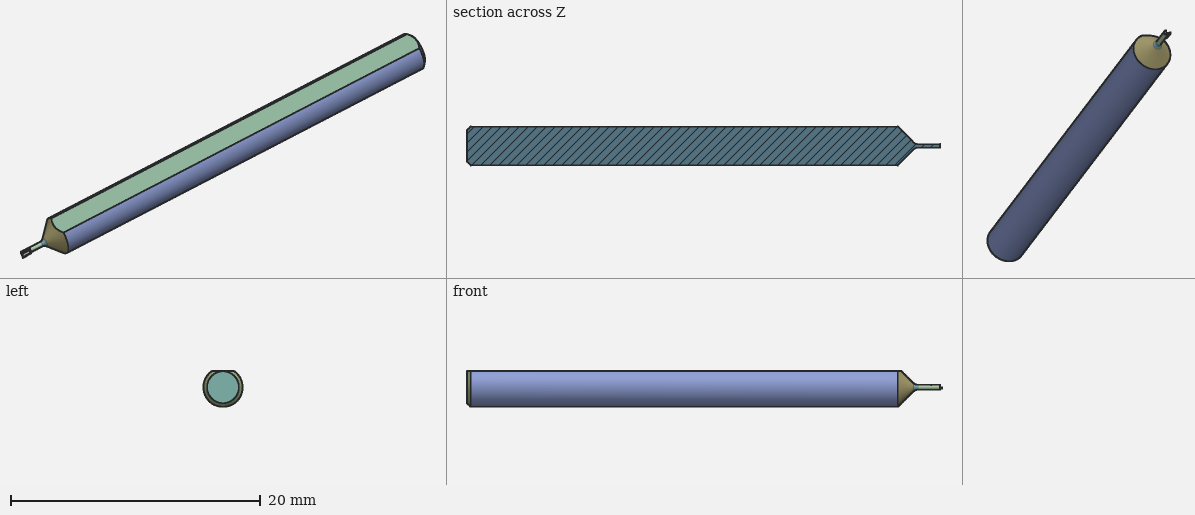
import cadquery as cq
import math

total_length = 38.1
shank_diameter = 3.15
flat_to_bottom = 2.9
shank_chamfer = 0.3
cone_start = 34.55
cone_angle = math.radians(45)
neck_diameter = 0.42
neck_fillet_radius = 0.5
neck_end = 37.95

tooth_reach = 0.3
tooth_start = 37.05
tooth_full_height = 37.3
tooth_back_relief = 0.05
tooth_depth = 0.1
rake_height = 0.0
rake_runout = 0.15

shank_radius = shank_diameter / 2
neck_radius = neck_diameter / 2
flat_height = flat_to_bottom - shank_radius
tooth_root = neck_radius / 2


def make_turned_body():
    """Chamfered shank, cone and thin neck joined by a tangent fillet."""
    fillet_start_radius = neck_radius + neck_fillet_radius * (1 - math.cos(cone_angle))
    fillet_start = cone_start + (shank_radius - fillet_start_radius) / math.tan(cone_angle)
    fillet_end = fillet_start + neck_fillet_radius * math.sin(cone_angle)
    half_angle = cone_angle / 2
    fillet_middle = (
        fillet_end - neck_fillet_radius * math.sin(half_angle),
        neck_radius + neck_fillet_radius * (1 - math.cos(half_angle)),
    )
    return (
        cq.Workplane("XY")
        .moveTo(0, 0)
        .lineTo(0, shank_radius - shank_chamfer)
        .lineTo(shank_chamfer, shank_radius)
        .lineTo(cone_start, shank_radius)
        .lineTo(fillet_start, fillet_start_radius)
        .threePointArc(fillet_middle, (fillet_end, neck_radius))
        .lineTo(neck_end, neck_radius)
        .lineTo(neck_end, 0)
        .close()
        .revolve(360, (0, 0, 0), (1, 0, 0))
    )


def make_flat_cutter():
    """Block above the clamping flat along the shank."""
    return cq.Workplane("XY").box(
        total_length, shank_diameter, shank_radius, centered=(False, True, False)
    ).translate((0, 0, flat_height))


def make_rake_cutter():
    """Pocket clearing the +Y half of the neck above the rake face, with a sloped runout."""
    return (
        cq.Workplane("XZ")
        .moveTo(tooth_full_height, rake_height)
        .lineTo(tooth_full_height - rake_runout, neck_diameter)
        .lineTo(total_length, neck_diameter)
        .lineTo(total_length, rake_height)
        .close()
        .extrude(-tooth_reach)
    )


def make_tooth():
    """Pointed plate below the rake face, with its tip at the far +Y corner."""
    return (
        cq.Workplane("XY")
        .workplane(offset=rake_height)
        .moveTo(tooth_start, 0)
        .lineTo(tooth_start, tooth_root)
        .lineTo(tooth_full_height, tooth_reach - tooth_back_relief)
        .lineTo(total_length, tooth_reach)
        .lineTo(neck_end, 0)
        .close()
        .extrude(-tooth_depth)
    )


result = make_turned_body().cut(make_flat_cutter()).cut(make_rake_cutter()).union(make_tooth())